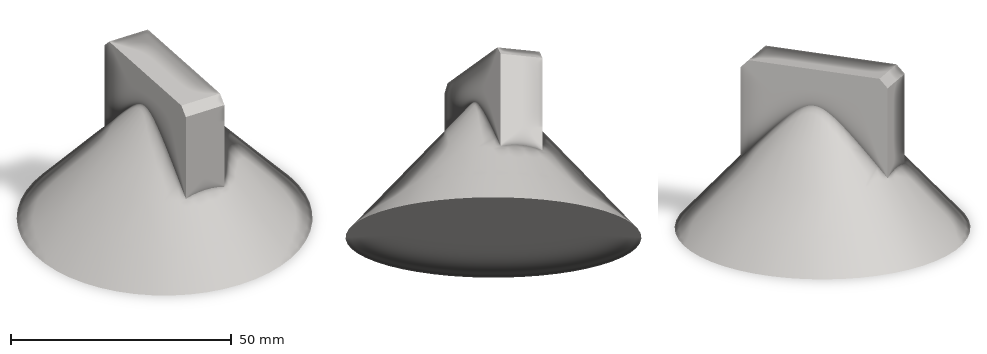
import cadquery as cq

base_diameter = 67.0
cone_height = 36.85

total_height = 40.0
grip_width = 36.05
grip_thickness = 10.2
corner_chamfer = 2.0


def make_cone():
    """Solid cone standing on the XY plane."""
    return cq.Workplane("XY").add(cq.Solid.makeCone(base_diameter / 2, 0, cone_height))


def make_grip():
    """Upright plate along X with its two upper end corners chamfered."""
    plate = cq.Workplane("XY").box(
        grip_width, grip_thickness, total_height, centered=(True, True, False)
    )
    return plate.faces(">Z").edges("|Y").chamfer(corner_chamfer)


def make_part():
    """Cone and grip joined; the cone hides the lower part of the grip."""
    return make_cone().union(make_grip())


result = make_part()